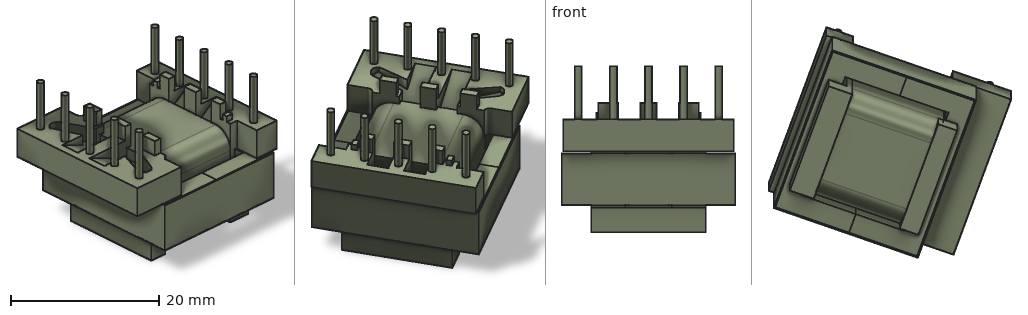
import cadquery as cq


tape_thickness = 0.19
tape_width = 23.45
tape_back = 12.5
tape_front = -8.19

core_width = tape_width - 2 * tape_thickness
core_bottom = 3.68
core_top = 10.68
core_back = tape_back - tape_thickness
core_split = 1.75
core_front = tape_front + tape_thickness
outer_leg = 2.75
yoke = outer_leg
centre_leg = 2 * outer_leg

sleeve_width = 6.25
sleeve_bottom = 3.36
sleeve_top = 10.95

winding_width = 15.5
winding_bottom = 0.2
winding_top = 14.07
winding_corner = 2.85
winding_front = -4.9

rail_width = core_width
rail_outer = 13.25
rail_bottom = sleeve_top
rail_top = 15.28
foot_top = sleeve_bottom
flange_width = winding_width

back_flange_inner = 8.15
back_flange_outer = 8.98
back_rail_inner = 9.43
back_foot_outer = 11.58

front_flange_inner = -4.15
front_flange_outer = -5.1
front_rail_inner = winding_front
front_foot_outer = -6.83
front_corner_radius = 0.85
front_corner_reach = 0.93
front_corner_centre = (flange_width / 2 + front_corner_reach, front_rail_inner + front_corner_radius)

pin_diameter = 1.0
pin_pitch = 4.75
pin_count = 5
pin_row = 10.85
pin_top = 22.46

post_depth = 1.09
post_top = 17.5
low_post_top = 16.13
middle_post_width = 2.2
back_post = (4.05, 5.77)
back_low_post = (6.25, 7.05)
front_post = (4.48, 6.8)

slot_inner = middle_post_width / 2
slot_outer = 4.05
slot_end = 12.08
ramp_low = 12.4

branch_inner_wall = ((slot_outer, -5.62), (8.6, -7.75))
branch_tip = (9.32, -8.87)
branch_outer_wall = ((8.5, -9.95), (slot_outer, -8.15))


def block(x_range, y_range, z_range):
    """A box between pairs of limits given in either order."""
    x_low, x_high = sorted(x_range)
    y_low, y_high = sorted(y_range)
    z_low, z_high = sorted(z_range)
    size = (x_high - x_low, y_high - y_low, z_high - z_low)
    return cq.Workplane("XY").box(*size, centered=False).translate((x_low, y_low, z_low))


def centred_block(width, y_range, z_range):
    return block((-width / 2, width / 2), y_range, z_range)


def with_mirror(shape):
    """The shape together with its mirror image across X = 0."""
    return shape.union(shape.mirror("YZ"))


def make_core_half(outer_face):
    height = (core_bottom, core_top)
    yoke_inner = outer_face - yoke if outer_face > core_split else outer_face + yoke
    half = centred_block(core_width, (outer_face, core_split), height)
    window = block((centre_leg / 2, core_width / 2 - outer_leg), (yoke_inner, core_split), height)
    return half.cut(with_mirror(window))


def make_tape():
    height = (core_bottom, core_top)
    band = centred_block(tape_width, (tape_front, tape_back), height)
    return band.cut(centred_block(core_width, (core_front, core_back), height))


def make_sleeve_envelope():
    """The sleeve without its opening, which is also the hole it needs in the other bodies."""
    length = (front_flange_outer, back_flange_outer)
    return centred_block(sleeve_width, length, (sleeve_bottom, sleeve_top))


def make_sleeve():
    length = (front_flange_outer, back_flange_outer)
    return make_sleeve_envelope().cut(centred_block(centre_leg, length, (core_bottom, core_top)))


def make_winding_envelope():
    """The winding without its opening."""
    length = (winding_front, back_flange_inner)
    envelope = centred_block(winding_width, length, (winding_bottom, winding_top))
    return envelope.edges("|Y").fillet(winding_corner)


def make_winding():
    return make_winding_envelope().cut(make_sleeve_envelope())


def make_pins(row_y):
    first_x = -pin_pitch * (pin_count - 1) / 2
    places = [(first_x + i * pin_pitch, row_y) for i in range(pin_count)]
    pins = cq.Workplane("XY").workplane(offset=rail_top).pushPoints(places)
    return pins.circle(pin_diameter / 2).extrude(pin_top - rail_top)


def make_ramp_space(high_y, low_y):
    """The space above a floor falling from the rail top at high_y to ramp_low at low_y."""
    side = [(high_y, rail_top), (low_y, rail_top), (low_y, ramp_low)]
    return cq.Workplane("YZ").polyline(side).close().extrude(rail_width / 2, both=True)


def make_back_slots():
    outline = block((slot_inner, slot_outer), (back_flange_inner, slot_end), (0, rail_top))
    ramp_space = make_ramp_space(slot_end, back_flange_inner)
    return with_mirror(outline.intersect(ramp_space))


def make_front_slots():
    straight = block((slot_inner, slot_outer), (winding_front, -slot_end), (0, rail_top))
    branch = (
        cq.Workplane("XY")
        .polyline(branch_inner_wall)
        .threePointArc(branch_tip, branch_outer_wall[0])
        .lineTo(*branch_outer_wall[1])
        .close()
        .extrude(rail_top)
    )
    ramp_space = make_ramp_space(-slot_end, winding_front)
    sloped = straight.union(branch).intersect(ramp_space)
    mouth = block((slot_inner, slot_outer), (front_flange_inner, winding_front), (ramp_low, rail_top))
    return with_mirror(sloped.union(mouth))


def make_posts(post, y_start, y_end, top):
    return with_mirror(block(post, (y_start, y_end), (rail_top, top)))


def make_middle_post(y_start, y_end):
    return centred_block(middle_post_width, (y_start, y_end), (rail_top, post_top))


def make_back_former():
    rail_height = (rail_bottom, rail_top)
    post_outer = back_flange_inner + post_depth
    flange = centred_block(flange_width, (back_flange_inner, back_flange_outer), (0, rail_top))
    web = centred_block(flange_width, (back_flange_inner, back_rail_inner), rail_height)
    rail = centred_block(rail_width, (back_rail_inner, rail_outer), rail_height)
    foot = centred_block(flange_width, (back_flange_inner, back_foot_outer), (0, foot_top))
    return (
        flange.union(web)
        .union(rail)
        .union(foot)
        .cut(make_back_slots())
        .cut(make_sleeve_envelope())
        .union(make_posts(back_post, back_flange_inner, post_outer, post_top))
        .union(make_posts(back_low_post, back_flange_inner, post_outer, low_post_top))
        .union(make_middle_post(back_flange_inner, post_outer))
        .union(make_pins(pin_row))
    )


def make_front_rail():
    """The front rail, with rounded inside corners where it meets the flange."""
    flange_side = flange_width / 2
    rail = centred_block(rail_width, (front_rail_inner, -rail_outer), (rail_bottom, rail_top))
    corner_block = block(
        (flange_side, front_corner_centre[0]),
        (front_rail_inner, front_flange_inner),
        (rail_bottom, rail_top),
    )
    rounding = cq.Workplane("XY").center(*front_corner_centre).circle(front_corner_radius)
    corner = corner_block.cut(rounding.extrude(rail_top))
    return rail.union(with_mirror(corner))


def make_front_former():
    post_outer = front_flange_inner - post_depth
    flange = centred_block(flange_width, (front_flange_inner, front_flange_outer), (0, rail_top))
    foot = centred_block(flange_width, (front_flange_inner, front_foot_outer), (0, foot_top))
    return (
        flange.union(make_front_rail())
        .union(foot)
        .cut(make_front_slots())
        .cut(make_winding_envelope())
        .cut(make_sleeve_envelope())
        .union(make_posts(front_post, front_flange_inner, post_outer, post_top))
        .union(make_middle_post(front_flange_inner, post_outer))
        .union(make_pins(-pin_row))
    )


back_core = make_core_half(core_back)
front_core = make_core_half(core_front)
tape = make_tape()
sleeve = make_sleeve()
winding = make_winding()
back_former = make_back_former()
front_former = make_front_former()

result = cq.Compound.makeCompound(
    [
        back_core.val(),
        front_core.val(),
        tape.val(),
        sleeve.val(),
        winding.val(),
        back_former.val(),
        front_former.val(),
    ]
)